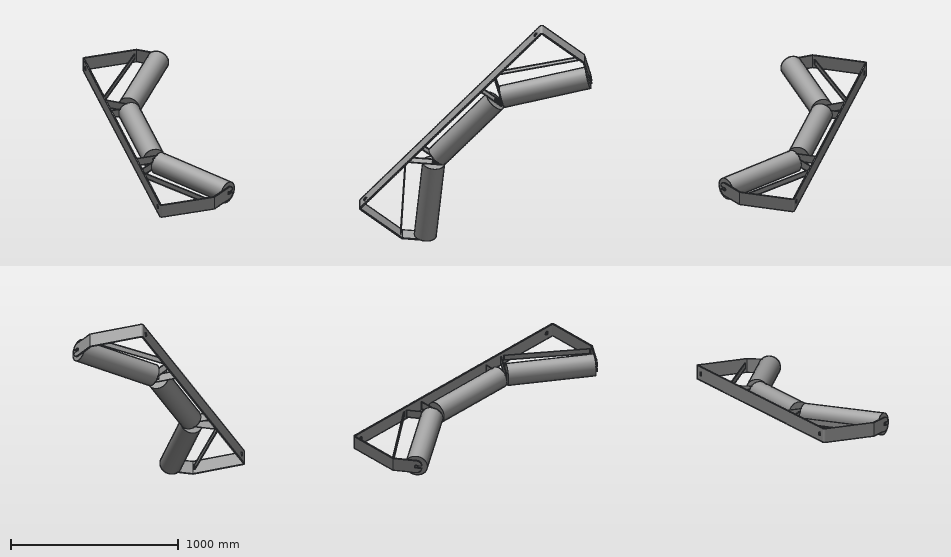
import math

import cadquery as cq

frame_length = 1680.0
overall_depth = 497.0
frame_thickness = 8.0
frame_width = 84.0
frame_bend_radius = 13.0
arm_bend_height = 336.0
arm_length = 173.0
arm_tip_radius = 30.0
mount_hole_diameter = 24.0
mount_hole_x = 783.0

trough_angle = 35.0
roller_diameter = 133.0
roller_length = 530.0
axle_diameter = 18.0
end_clearance = 5.0
center_roller_y = 126.0
center_roller_z = -7.0

bracket_thickness = 5.0
bracket_width = 50.0
bracket_height = 171.0
bracket_bend_radius = 7.0

strut_thickness = 5.0
strut_width = 34.0
strut_top_y = 325.0
strut_foot_x = 417.0

half_length = frame_length / 2
slope_sin = math.sin(math.radians(trough_angle))
slope_cos = math.cos(math.radians(trough_angle))

strip_near = roller_length / 2 + end_clearance
arm_far = strip_near + frame_thickness
bracket_far = strip_near + bracket_thickness

wing_roller_y = overall_depth - roller_length / 2 * slope_sin - roller_diameter / 2 * slope_cos
wing_roller_x = half_length - (arm_far - (arm_bend_height - wing_roller_y) * slope_sin) / slope_cos

wing_roller_z = center_roller_z / 2
wing_tilt = math.degrees(math.asin(-center_roller_z / roller_length))


def on_left_wing(shape):
    """Move a shape made along X about the origin onto the axis of the left wing roller."""
    tilted = shape.rotate((0, 0, 0), (0, 1, 0), wing_tilt)
    sloped = tilted.rotate((0, 0, 0), (0, 0, 1), -trough_angle)
    return sloped.translate((-wing_roller_x, wing_roller_y, wing_roller_z))


def on_center(shape):
    """Move a shape made along X about the origin onto the axis of the center roller."""
    return shape.translate((0, center_roller_y, center_roller_z))


def on_right(shape):
    """The matching shape on the other side of the center."""
    return shape.mirror("YZ")


def cylinder_along_x(diameter, length):
    return cq.Workplane("YZ", origin=(-length / 2, 0, 0)).circle(diameter / 2).extrude(length)


def plate(outline_points, width):
    """A plate with the given XY outline, centered on Z = 0."""
    return cq.Workplane("XY", origin=(0, 0, -width / 2)).polyline(outline_points).close().extrude(width)


def edges_through(x, y):
    """Selects the Z edges that pass through a point of the XY plane."""
    reach = 0.2
    return cq.selectors.BoxSelector(
        (x - reach, y - reach, -frame_width), (x + reach, y + reach, frame_width)
    )


def axle_slots():
    """Cutter for the open slots at both ends of an axle: round below, open towards +Y."""
    slot_depth = roller_diameter / 2
    cutter_length = 2 * (arm_far + end_clearance)
    opening = cq.Workplane("XY").box(cutter_length, slot_depth, axle_diameter)
    slots = cylinder_along_x(axle_diameter, cutter_length).union(opening.translate((0, slot_depth / 2, 0)))
    return slots.cut(cq.Workplane("XY").box(roller_length, roller_diameter * 2, roller_diameter))


def roller():
    drum = cylinder_along_x(roller_diameter, roller_length)
    axle = cylinder_along_x(axle_diameter, 2 * bracket_far)
    return drum.union(axle)


def left_half_frame():
    inner_x = -half_length + frame_thickness
    inner_bend_y = arm_bend_height - frame_thickness * math.tan(math.radians(trough_angle / 2))
    tip_x = -half_length + arm_length * slope_sin
    tip_y = arm_bend_height + arm_length * slope_cos
    tip_inner_x = tip_x + frame_thickness * slope_cos
    tip_inner_y = tip_y - frame_thickness * slope_sin
    strip = plate(
        [
            (0, 0),
            (-half_length, 0),
            (-half_length, arm_bend_height),
            (tip_x, tip_y),
            (tip_inner_x, tip_inner_y),
            (inner_x, inner_bend_y),
            (inner_x, frame_thickness),
            (0, frame_thickness),
        ],
        frame_width,
    )
    strip = strip.edges(edges_through(-half_length, 0)).fillet(frame_bend_radius)
    strip = strip.edges(edges_through(inner_x, frame_thickness)).fillet(frame_bend_radius - frame_thickness)

    tip_edges = cq.selectors.BoxSelector(
        (tip_x, tip_inner_y, -frame_width), (tip_inner_x, tip_y, frame_width)
    )
    across_thickness = cq.selectors.ParallelDirSelector(cq.Vector(slope_cos, -slope_sin, 0))
    strip = strip.edges(tip_edges).edges(across_thickness).fillet(arm_tip_radius)

    mount_hole = (
        cq.Workplane("XZ", origin=(-mount_hole_x, frame_thickness, 0))
        .circle(mount_hole_diameter / 2)
        .extrude(frame_thickness)
    )
    return strip.cut(mount_hole).cut(on_left_wing(axle_slots()))


def frame():
    half = left_half_frame()
    return half.union(on_right(half)).clean()


def left_bracket():
    foot_y = frame_thickness
    under_top_y = bracket_height - bracket_thickness

    def sloping_x(y, distance):
        """X at height y on the plane square to the wing axis, at this distance from the roller middle."""
        return -wing_roller_x + (distance + (y - wing_roller_y) * slope_sin) / slope_cos

    upper_left = (sloping_x(bracket_height, strip_near), bracket_height)
    upper_right = (-strip_near, bracket_height)
    bracket = plate(
        [
            (sloping_x(foot_y, strip_near), foot_y),
            upper_left,
            upper_right,
            (-strip_near, foot_y),
            (-bracket_far, foot_y),
            (-bracket_far, under_top_y),
            (sloping_x(under_top_y, bracket_far), under_top_y),
            (sloping_x(foot_y, bracket_far), foot_y),
        ],
        bracket_width,
    ).translate((0, 0, center_roller_z))
    for corner in (upper_left, upper_right):
        bracket = bracket.edges(edges_through(*corner)).fillet(bracket_bend_radius)
    return bracket.cut(on_center(axle_slots())).cut(on_left_wing(axle_slots()))


def left_strut():
    top_x = -half_length + frame_thickness
    fall = strut_top_y - frame_thickness
    run = -strut_foot_x - top_x
    length = math.hypot(run, fall)
    return plate(
        [
            (top_x, strut_top_y),
            (-strut_foot_x, frame_thickness),
            (-strut_foot_x - strut_thickness * length / fall, frame_thickness),
            (top_x, strut_top_y - strut_thickness * length / run),
        ],
        strut_width,
    )


bodies = [frame().val(), on_center(roller()).val()]
for left_body in (on_left_wing(roller()), left_bracket(), left_strut()):
    bodies.append(left_body.val())
    bodies.append(on_right(left_body).val())

result = cq.Compound.makeCompound(bodies)